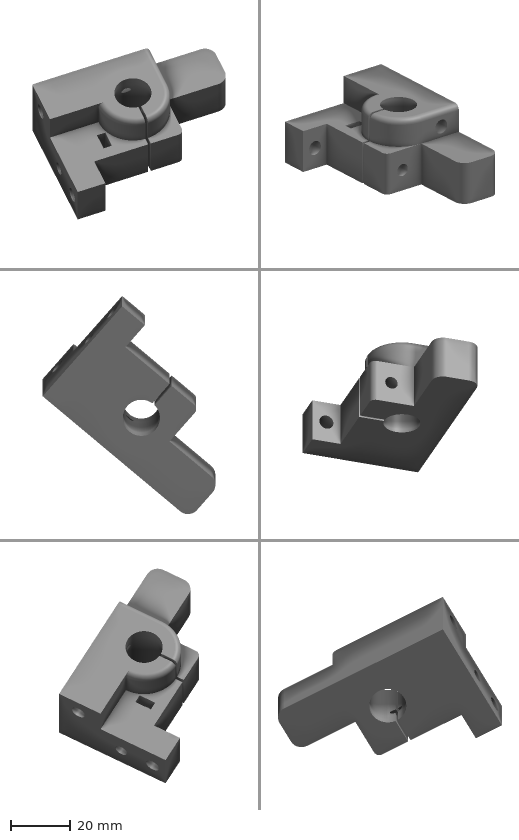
import cadquery as cq

total_width = 41.0
total_length = 65.0
total_height = 25.0

base_height = 15.0
base_width = 31.0
foot_length = 10.0
tongue_corner_radius = 4.0
base_corner_radius = 2.0

column_width = 16.0
boss_radius = 12.5
boss_center_x = column_width
boss_center_y = 30.0
column_length = boss_center_y + boss_radius
top_fillet = 2.0

bore_diameter = 12.5
slit_width = 1.0

mounting_hole_diameter = 5.0
screw_hole_diameter = 4.4
upper_hole_x = 7.5
upper_hole_z = 19.0
lower_hole_z = base_height / 2
screw_hole_x = 24.0
foot_hole_x = 36.0

nut_width = 6.0
nut_thickness = 3.0
nut_pocket_front = 15.0
nut_pocket_floor = lower_hole_z - nut_width / 2


def corner_box(width, length, height):
    """Box with its lower front left corner at the origin."""
    return cq.Workplane("XY").box(width, length, height, centered=False)


def make_base():
    body = corner_box(base_width, column_length, base_height)
    body = body.edges("|Z and >X and >Y").fillet(base_corner_radius)
    tongue = corner_box(column_width, total_length, base_height)
    tongue = tongue.edges("|Z and >Y").fillet(tongue_corner_radius)
    foot = corner_box(total_width, foot_length, base_height)
    return body.union(tongue).union(foot)


def make_column():
    column = corner_box(column_width, column_length, total_height)
    column = column.edges(">Y and >Z").fillet(top_fillet)
    boss = (
        cq.Workplane("XY")
        .center(boss_center_x, boss_center_y)
        .circle(boss_radius)
        .extrude(total_height)
        .faces(">Z")
        .edges()
        .fillet(top_fillet)
    )
    outer_half = corner_box(total_width, total_length, total_height).translate((column_width, 0, 0))
    return column.union(boss.intersect(outer_half))


def lengthwise_hole(x, z, diameter):
    return (
        cq.Workplane("XZ")
        .center(x, z)
        .circle(diameter / 2)
        .extrude(-total_length)
    )


def make_clamp_opening():
    bore = (
        cq.Workplane("XY")
        .center(boss_center_x, boss_center_y)
        .circle(bore_diameter / 2)
        .extrude(total_height)
    )
    slit = corner_box(total_width - boss_center_x, slit_width, total_height)
    slit = slit.translate((boss_center_x, boss_center_y - slit_width / 2, 0))
    return bore.union(slit)


def make_nut_pocket():
    pocket = corner_box(nut_width, nut_thickness, base_height - nut_pocket_floor)
    return pocket.translate((screw_hole_x - nut_width / 2, nut_pocket_front, nut_pocket_floor))


result = make_base().union(make_column())
result = result.cut(make_clamp_opening()).cut(make_nut_pocket())

lengthwise_holes = [
    (upper_hole_x, upper_hole_z, mounting_hole_diameter),
    (screw_hole_x, lower_hole_z, screw_hole_diameter),
    (foot_hole_x, lower_hole_z, mounting_hole_diameter),
]
for hole_x, hole_z, hole_diameter in lengthwise_holes:
    result = result.cut(lengthwise_hole(hole_x, hole_z, hole_diameter))